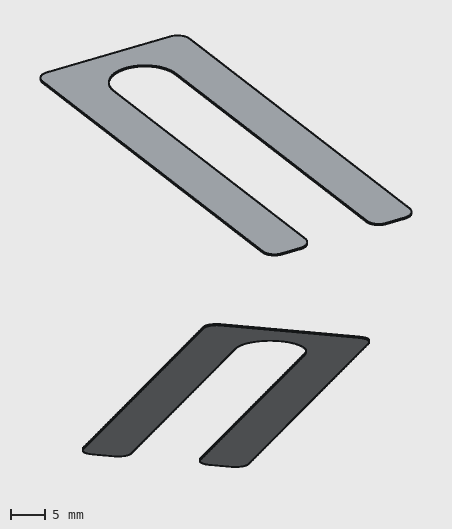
import cadquery as cq

length = 65.0
width = 25.0
thickness = 0.25

slot_width = 10.45
web = 4.8

corner_radius = 2.0

slot_radius = slot_width / 2
slot_center_x = -length / 2 + web + slot_radius


def plate():
    return cq.Workplane("XY").box(length, width, thickness)


def slot():
    """Round-ended cutter that runs out through the +X end."""
    straight = length / 2 - slot_center_x
    channel = (
        cq.Workplane("XY")
        .center(slot_center_x + straight / 2, 0)
        .box(straight, slot_width, thickness)
    )
    round_end = (
        cq.Workplane("XY", origin=(slot_center_x, 0, -thickness / 2))
        .circle(slot_radius)
        .extrude(thickness)
    )
    return channel.union(round_end)


shim = plate().cut(slot())
shim = shim.edges("|Z and <X").fillet(corner_radius)
result = shim.edges("|Z and >X").fillet(corner_radius)